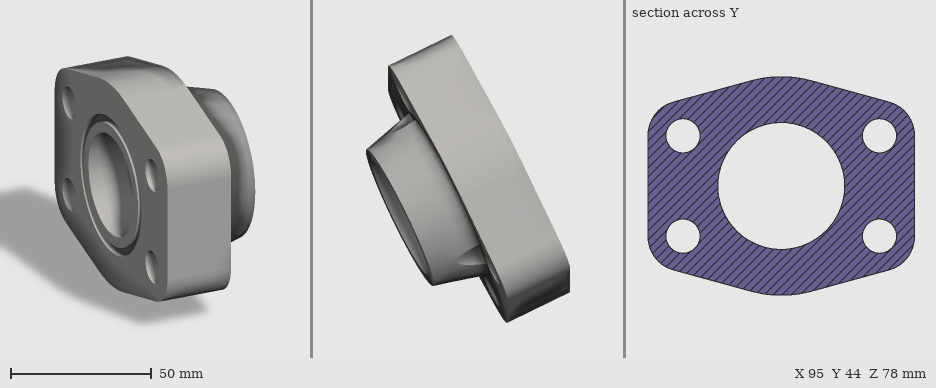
import cadquery as cq
import math

FLANGE_WIDTH = 95.0
FLANGE_HEIGHT = 78.0
FLANGE_THICKNESS = 25.0

BOLT_SPACING_X = 69.9
BOLT_SPACING_Z = 35.7
BOLT_HOLE_DIAMETER = 12.0
BOLT_HEAD_RELIEF_DIAMETER = 19.4

TOTAL_LENGTH = 44.0
NECK_BASE_DIAMETER = 64.0
NECK_END_DIAMETER = 54.2

BORE_DIAMETER = 38.0
BORE_LENGTH = 15.0
SOCKET_DIAMETER = 45.0

GROOVE_INNER_DIAMETER = 45.6
GROOVE_OUTER_DIAMETER = 51.6
GROOVE_DEPTH = 2.0

BOLT_X = BOLT_SPACING_X / 2
BOLT_Z = BOLT_SPACING_Z / 2
BOLT_POSITIONS = [(x, z) for x in (-BOLT_X, BOLT_X) for z in (-BOLT_Z, BOLT_Z)]


def plane_at(y):
    """Sketch plane at distance y along the flange axis: local x = X, local y = Z, normal = -Y."""
    return cq.Workplane("XZ", origin=(0, y, 0))


def cylinders(diameter, start, end, centres):
    """Cylinders along Y between two distances, one at each (X, Z) centre."""
    return plane_at(start).pushPoints(centres).circle(diameter / 2).extrude(start - end)


def make_flange():
    """Plate whose sides are the common tangents of a central disc and four corner discs."""
    disc_radius = FLANGE_HEIGHT / 2
    corner_radius = FLANGE_WIDTH / 2 - BOLT_X

    bolt_circle_radius = math.hypot(BOLT_X, BOLT_Z)
    tilt = math.atan2(BOLT_X, BOLT_Z) - math.acos((disc_radius - corner_radius) / bolt_circle_radius)
    right_angle = math.pi / 2
    corner_mid = (right_angle + tilt) / 2

    def on_disc(angle):
        return disc_radius * math.sin(angle), disc_radius * math.cos(angle)

    def on_corner(angle, side_x, side_z):
        x = BOLT_X + corner_radius * math.sin(angle)
        z = BOLT_Z + corner_radius * math.cos(angle)
        return side_x * x, side_z * z

    outline = (
        plane_at(0)
        .moveTo(*on_disc(-tilt))
        .threePointArc(on_disc(0), on_disc(tilt))
        .lineTo(*on_corner(tilt, 1, 1))
        .threePointArc(on_corner(corner_mid, 1, 1), on_corner(right_angle, 1, 1))
        .lineTo(*on_corner(right_angle, 1, -1))
        .threePointArc(on_corner(corner_mid, 1, -1), on_corner(tilt, 1, -1))
        .lineTo(*on_disc(math.pi - tilt))
        .threePointArc(on_disc(math.pi), on_disc(math.pi + tilt))
        .lineTo(*on_corner(tilt, -1, -1))
        .threePointArc(on_corner(corner_mid, -1, -1), on_corner(right_angle, -1, -1))
        .lineTo(*on_corner(right_angle, -1, 1))
        .threePointArc(on_corner(corner_mid, -1, 1), on_corner(tilt, -1, 1))
        .close()
    )
    return outline.extrude(-FLANGE_THICKNESS)


def make_neck():
    """Cone from the plate to the pipe end, scalloped to clear the bolt heads."""
    cone = (
        cq.Workplane("XY")
        .moveTo(0, FLANGE_THICKNESS)
        .lineTo(NECK_BASE_DIAMETER / 2, FLANGE_THICKNESS)
        .lineTo(NECK_END_DIAMETER / 2, TOTAL_LENGTH)
        .lineTo(0, TOTAL_LENGTH)
        .close()
        .revolve(360, (0, 0, 0), (0, 1, 0))
    )
    return cone.cut(cylinders(BOLT_HEAD_RELIEF_DIAMETER, FLANGE_THICKNESS, TOTAL_LENGTH, BOLT_POSITIONS))


def make_seal_groove():
    """Flat-bottomed ring cut into the outer face."""
    ring = plane_at(0).circle(GROOVE_OUTER_DIAMETER / 2).circle(GROOVE_INNER_DIAMETER / 2)
    return ring.extrude(-GROOVE_DEPTH)


def make_passage():
    """Solid filling the bore, the cone and the socket, to be removed from the part."""
    bore_radius = BORE_DIAMETER / 2
    socket_radius = SOCKET_DIAMETER / 2
    socket_start = BORE_LENGTH + socket_radius - bore_radius
    return (
        cq.Workplane("XY")
        .lineTo(bore_radius, 0)
        .lineTo(bore_radius, BORE_LENGTH)
        .lineTo(socket_radius, socket_start)
        .lineTo(socket_radius, TOTAL_LENGTH)
        .lineTo(0, TOTAL_LENGTH)
        .close()
        .revolve(360, (0, 0, 0), (0, 1, 0))
    )


result = (
    make_flange()
    .union(make_neck())
    .cut(cylinders(BOLT_HOLE_DIAMETER, 0, FLANGE_THICKNESS, BOLT_POSITIONS))
    .cut(make_passage())
    .cut(make_seal_groove())
)